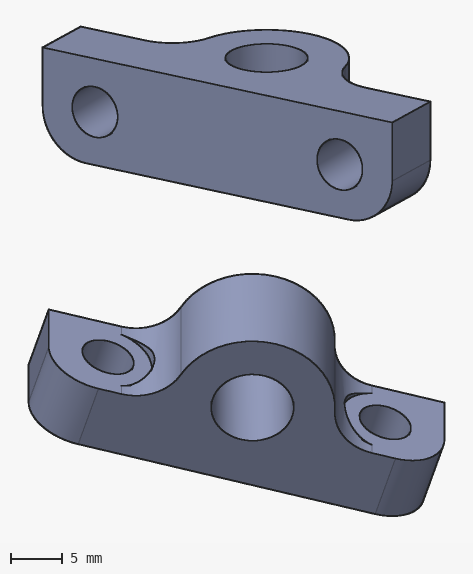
import cadquery as cq
import math

length = 40.0
height = 11.0
bar_depth = 7.0
corner_radius = 5.0

boss_radius = 8.0
boss_y = 9.0
bore_diameter = 8.0
blend_radius = 5.0

hole_diameter = 5.2
hole_spacing = 28.0
hole_z = height / 2
head_clearance_diameter = 8.8

half_length = length / 2
total_depth = boss_y + boss_radius

blend_y = bar_depth + blend_radius
center_distance = boss_radius + blend_radius
blend_x = math.sqrt(center_distance**2 - (blend_y - boss_y) ** 2)
boss_share = boss_radius / center_distance
tangent_x = blend_x * boss_share
tangent_y = boss_y + (blend_y - boss_y) * boss_share

toward_boss = math.atan2(boss_y - blend_y, -blend_x)
mid_angle = (toward_boss - math.pi / 2) / 2
mid_x = blend_x + blend_radius * math.cos(mid_angle)
mid_y = blend_y + blend_radius * math.sin(mid_angle)


def make_body():
    """Bar and boss outline, extruded upward, with rounded lower corners."""
    return (
        cq.Workplane("XY")
        .moveTo(-half_length, 0)
        .lineTo(half_length, 0)
        .lineTo(half_length, bar_depth)
        .lineTo(blend_x, bar_depth)
        .threePointArc((mid_x, mid_y), (tangent_x, tangent_y))
        .threePointArc((0, total_depth), (-tangent_x, tangent_y))
        .threePointArc((-mid_x, mid_y), (-blend_x, bar_depth))
        .lineTo(-half_length, bar_depth)
        .close()
        .extrude(height)
        .edges("|Y and <Z")
        .fillet(corner_radius)
    )


def screw_cylinders(diameter, start_y):
    """Pair of cylinders on the screw axes, from start_y to the back of the boss."""
    return (
        cq.Workplane("XZ", origin=(0, start_y, hole_z))
        .pushPoints([(-hole_spacing / 2, 0), (hole_spacing / 2, 0)])
        .circle(diameter / 2)
        .extrude(start_y - total_depth)
    )


bore = cq.Workplane("XY").center(0, boss_y).circle(bore_diameter / 2).extrude(height)

result = (
    make_body()
    .cut(bore)
    .cut(screw_cylinders(hole_diameter, 0))
    .cut(screw_cylinders(head_clearance_diameter, bar_depth))
)